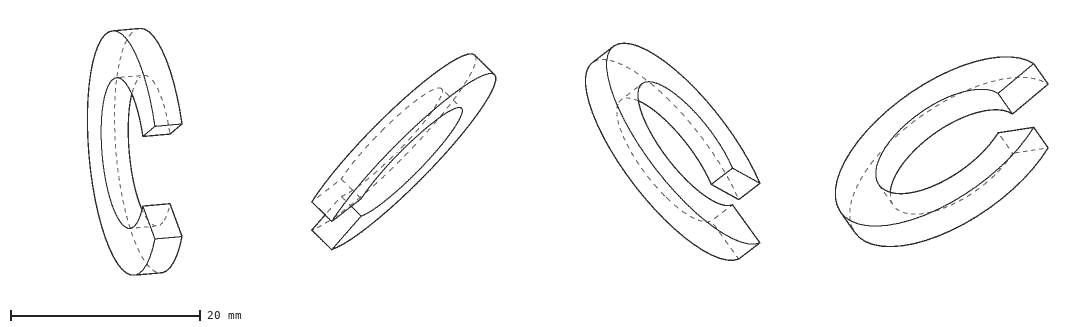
import cadquery as cq
import math

outer_radius = 12.98
inner_radius = 8.0
thickness = 3.0
half_gap_angle = math.radians(28.6)


def gap_corner(radius, side):
    """Point on the radial end face; side is +1 above the gap, -1 below."""
    return (
        radius * math.cos(half_gap_angle),
        side * radius * math.sin(half_gap_angle),
    )


profile = (
    cq.Workplane("XZ")
    .moveTo(*gap_corner(outer_radius, 1))
    .threePointArc((-outer_radius, 0), gap_corner(outer_radius, -1))
    .lineTo(*gap_corner(inner_radius, -1))
    .threePointArc((-inner_radius, 0), gap_corner(inner_radius, 1))
    .close()
)

result = profile.extrude(thickness / 2, both=True)